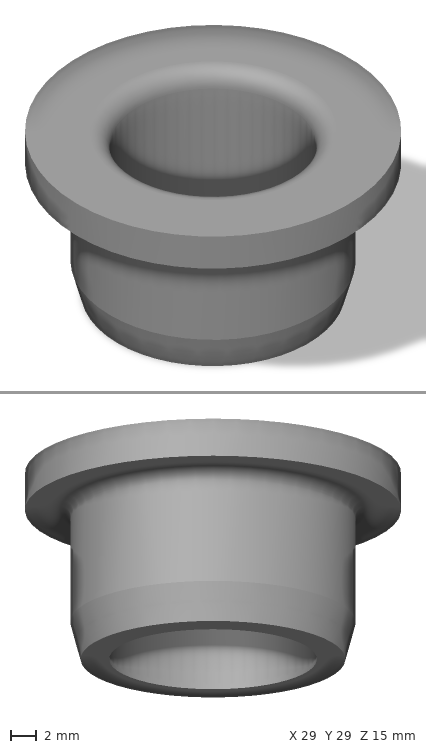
import cadquery as cq
import math

flange_diameter = 29.0
flange_thickness = 3.0
body_diameter = 22.0
bore_diameter = 16.0
total_height = 15.0
mouth_radius = 1.5
neck_radius = 0.8
lead_in_height = 3.0
lead_in_angle = 15.0

flange_radius = flange_diameter / 2
body_radius = body_diameter / 2
bore_radius = bore_diameter / 2
flange_underside = total_height - flange_thickness
tip_radius = body_radius - lead_in_height * math.tan(math.radians(lead_in_angle))

arc_inset = 1 - math.sqrt(0.5)
neck_inset = neck_radius * arc_inset
mouth_inset = mouth_radius * arc_inset

half_section = (
    cq.Workplane("XZ")
    .moveTo(bore_radius, 0)
    .lineTo(tip_radius, 0)
    .lineTo(body_radius, lead_in_height)
    .lineTo(body_radius, flange_underside - neck_radius)
    .threePointArc(
        (body_radius + neck_inset, flange_underside - neck_inset),
        (body_radius + neck_radius, flange_underside),
    )
    .lineTo(flange_radius, flange_underside)
    .lineTo(flange_radius, total_height)
    .lineTo(bore_radius + mouth_radius, total_height)
    .threePointArc(
        (bore_radius + mouth_inset, total_height - mouth_inset),
        (bore_radius, total_height - mouth_radius),
    )
    .close()
)

result = half_section.revolve(360, (0, 0, 0), (0, 1, 0))